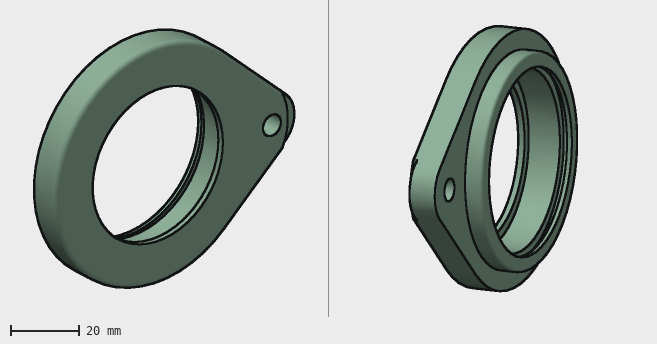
import cadquery as cq
import math

total_depth = 15.7
flange_start = 5.7
rear_layer_depth = 1.8
edge_fillet = 1.7
lug_back = total_depth - rear_layer_depth

total_length = 91.5
flange_radius = 38.5
lug_radius = 10.0
lug_offset = total_length - flange_radius - lug_radius
lug_hole_diameter = 6.8
rear_tip = 49.9
rear_tip_radius = 21.0

spigot_radius = 32.5
spigot_fillet = 1.0
lip_radius = 28.0
lip_width = 1.6
groove_radius = 30.0
groove_end = 3.6
bore_radius = 27.4
shoulder_position = 13.6
opening_radius = 24.5

axis_y = flange_radius - total_length / 2


def cylinder(radius, start, end, y=0.0):
    """Solid cylinder along X, offset sideways from the ring axis."""
    return cq.Workplane("YZ", origin=(start, y, 0)).circle(radius).extrude(end - start)


def flange_layer(start, end):
    """Disc and rounded lug, joined by their common tangents."""
    tangent_sine = (flange_radius - lug_radius) / lug_offset
    tangent_cosine = math.sqrt(1 - tangent_sine**2)
    disc_y, disc_z = flange_radius * tangent_sine, flange_radius * tangent_cosine
    lug_y = lug_offset + lug_radius * tangent_sine
    lug_z = lug_radius * tangent_cosine
    return (
        cq.Workplane("YZ", origin=(start, 0, 0))
        .moveTo(disc_y, disc_z)
        .threePointArc((-flange_radius, 0), (disc_y, -disc_z))
        .lineTo(lug_y, -lug_z)
        .threePointArc((lug_offset + lug_radius, 0), (lug_y, lug_z))
        .close()
        .extrude(end - start)
    )


def rear_layer():
    """Rear of the flange, cut short at the lug and rounded around its edge."""
    tip_y = rear_tip - rear_tip_radius
    tip_limit = cylinder(rear_tip_radius, lug_back, total_depth, tip_y)
    body_limit = (
        cq.Workplane("YZ", origin=(lug_back, lug_offset - total_length, 0))
        .rect(2 * total_length, 2 * total_length)
        .extrude(rear_layer_depth)
    )
    return flange_layer(lug_back, total_depth).intersect(body_limit.union(tip_limit))


flange = flange_layer(flange_start, lug_back).union(rear_layer())
flange = flange.faces(">X").edges().fillet(edge_fillet)

spigot = cylinder(spigot_radius, 0, flange_start).faces("<X").edges().fillet(spigot_fillet)
result = flange.union(spigot)

bore_steps = [
    (lip_radius, 0, lip_width),
    (groove_radius, lip_width, groove_end),
    (bore_radius, groove_end, shoulder_position),
    (opening_radius, shoulder_position, total_depth),
]
for radius, start, end in bore_steps:
    result = result.cut(cylinder(radius, start, end))

result = result.cut(cylinder(lug_hole_diameter / 2, flange_start, total_depth, lug_offset))
result = result.translate((-total_depth / 2, axis_y, 0))